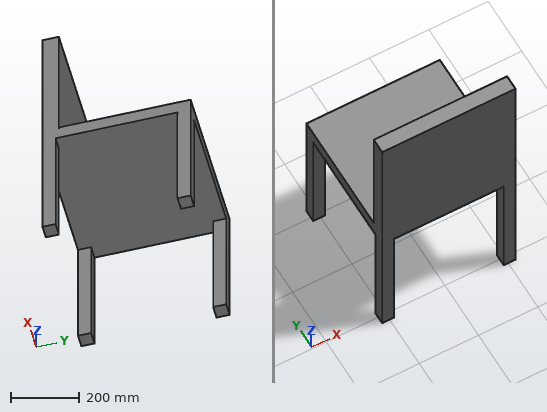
import cadquery as cq

seat_width = 450.0
seat_depth = 450.0
seat_thickness = 50.0
leg_height = 425.0
leg_side = 40.0
back_height = 450.0
back_thickness = 50.0


def make_block(size_x, size_y, size_z, x, y, z):
    """Box centred on (x, y) with its underside at height z."""
    block = cq.Workplane("XY").box(size_x, size_y, size_z, centered=(True, True, False))
    return block.translate((x, y, z))


def make_seat():
    """Flat seat panel resting on top of the legs."""
    return make_block(seat_width, seat_depth, seat_thickness, 0, 0, leg_height)


def make_back():
    """Upright backrest standing on the -Y edge of the seat."""
    back_y = (back_thickness - seat_depth) / 2
    seat_top = leg_height + seat_thickness
    return make_block(seat_width, back_thickness, back_height, 0, back_y, seat_top)


def make_legs():
    """Four square legs flush with the corners of the seat."""
    leg_x = (seat_width - leg_side) / 2
    leg_y = (seat_depth - leg_side) / 2
    legs = cq.Workplane("XY")
    for side_x in (-1, 1):
        for side_y in (-1, 1):
            leg = make_block(leg_side, leg_side, leg_height, side_x * leg_x, side_y * leg_y, 0)
            legs = legs.add(leg)
    return legs


result = make_seat().union(make_back()).union(make_legs()).clean()